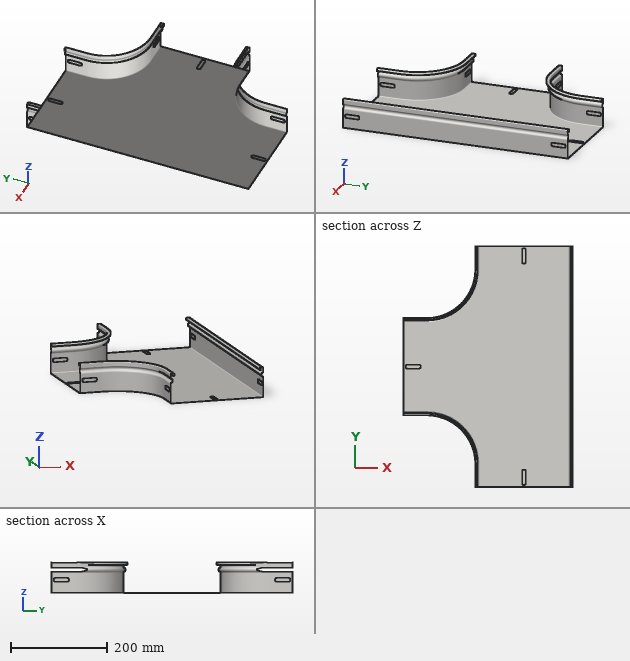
import cadquery as cq
import math


RUN_LENGTH = 501.0
OVERALL_WIDTH = 351.5
HEIGHT = 64.0
SHEET = 0.65

CORNER_RADIUS = 100.0
STRAIGHT_END = 49.0
ARM = STRAIGHT_END + CORNER_RADIUS

FLANGE = 5.0
BEND_RADIUS = 2.25
BEAD_DROP = 15.5
BEAD_DEPTH = 4.25
BEAD_UPPER_HEIGHT = 6.0
BEAD_LOWER_HEIGHT = 7.0
BEAD_PEAK_RADIUS = 4.5
LIP_WIDTH = 9.0
LIP_HEIGHT = 6.0
LIP_RETURN = 5.5
LIP_BEND_RADIUS = 2.0
CURL_RADIUS = 2.5

KNOCKOUT_LENGTH = 32.0
KNOCKOUT_WIDTH = 8.0
KNOCKOUT_SHIFT = 0.25
KNOCKOUT_END_GAP = 4.5
KNOCKOUT_HEIGHT = 27.5

COINCIDENT = 5.01e-06

HALF_RUN = RUN_LENGTH / 2
HALF_WIDTH = OVERALL_WIDTH / 2
CURVE_X = STRAIGHT_END - HALF_WIDTH
CURVE_Y = STRAIGHT_END - HALF_RUN
RUN_FACE_X = ARM - HALF_WIDTH
BRANCH_FACE_Y = ARM - HALF_RUN
KNOCKOUT_CENTRE = KNOCKOUT_END_GAP + KNOCKOUT_LENGTH / 2


def bent_strip(plane, corners, thickness):
    """Sketch a strip along corners (x, y, bend radius), with concentric bends."""
    steps = list(zip(corners, corners[1:]))
    headings = [math.atan2(b[1] - a[1], b[0] - a[0]) for a, b in steps]

    def beside(point, heading, offset):
        return (point[0] - offset * math.sin(heading), point[1] + offset * math.cos(heading))

    def side(offset):
        """Start point, bends as (start, middle, end), and end point of one face."""
        bends = []
        for (x, y, radius), before, after in zip(corners[1:-1], headings, headings[1:]):
            turn = math.remainder(after - before, 2 * math.pi)
            setback = radius * math.tan(abs(turn) / 2)
            tangent = (x - setback * math.cos(before), y - setback * math.sin(before))
            exit_point = (x + setback * math.cos(after), y + setback * math.sin(after))
            to_centre = math.copysign(radius, turn)
            centre = beside(tangent, before, to_centre)
            middle = beside(centre, before + turn / 2, offset - to_centre)
            bends.append((beside(tangent, before, offset), middle, beside(exit_point, after, offset)))
        return beside(corners[0], headings[0], offset), bends, beside(corners[-1], headings[-1], offset)

    def line_on(outline, point):
        """Line to a point, left out where one bend runs straight into the next."""
        here = outline.plane.toLocalCoords(outline.val().endPoint())
        gap = math.hypot(point[0] - here.x, point[1] - here.y)
        return outline.lineTo(*point) if gap > COINCIDENT else outline

    left_start, left_bends, left_end = side(thickness / 2)
    right_start, right_bends, right_end = side(-thickness / 2)
    outline = plane.moveTo(*right_start).lineTo(*left_start)
    for first, middle, last in left_bends:
        outline = line_on(outline, first).threePointArc(middle, last)
    outline = outline.lineTo(*left_end).lineTo(*right_end)
    for first, middle, last in reversed(right_bends):
        outline = line_on(outline, last).threePointArc(middle, first)
    return outline.close()


def bead_corners(wall, height):
    """Corners of an inward bead whose base bends run straight into its peak bend."""
    def half(half_height):
        """Flank angle, base bend radius and distance of the base corner from the peak line."""
        angle = 2 * math.atan(BEAD_DEPTH / half_height)
        radius = half_height / math.sin(angle) - BEAD_PEAK_RADIUS
        return angle, radius, half_height - radius * math.tan(angle / 2)

    upper_angle, upper_radius, upper_rise = half(BEAD_UPPER_HEIGHT)
    lower_angle, lower_radius, lower_fall = half(BEAD_LOWER_HEIGHT)
    reach = BEAD_PEAK_RADIUS / math.cos((upper_angle + lower_angle) / 2)
    tilt = (upper_angle - lower_angle) / 2
    peak = wall + BEAD_DEPTH - BEAD_PEAK_RADIUS + reach * math.cos(tilt)
    return [
        (wall, height - lower_fall, lower_radius),
        (peak, height + reach * math.sin(tilt), BEAD_PEAK_RADIUS),
        (wall, height + upper_rise, upper_radius),
    ]


def wall_section(origin, inward):
    """Wall section on an upright plane: local x points into the tray, local y up."""
    normal = cq.Vector(*inward).cross(cq.Vector(0, 0, 1))
    plane = cq.Workplane(cq.Plane(origin=origin, xDir=inward, normal=normal))
    skin = SHEET / 2
    top = HEIGHT - skin
    lip_bottom = HEIGHT - LIP_HEIGHT + skin
    lip_edge = LIP_WIDTH - skin
    corners = [
        (FLANGE, skin, 0),
        (skin, skin, BEND_RADIUS),
        *bead_corners(skin, HEIGHT - BEAD_DROP),
        (skin, top, LIP_BEND_RADIUS),
        (lip_edge, top, CURL_RADIUS),
        (lip_edge, lip_bottom, CURL_RADIUS),
        (LIP_RETURN, lip_bottom, 0),
    ]
    return bent_strip(plane, corners, SHEET)


def back_wall():
    return wall_section((HALF_WIDTH, 0, 0), (-1, 0, 0)).extrude(HALF_RUN, both=True)


def corner_wall():
    """Wall on the -Y side: straight, quarter turn, straight."""
    run = wall_section((RUN_FACE_X, CURVE_Y, 0), (1, 0, 0)).extrude(STRAIGHT_END)
    branch = wall_section((CURVE_X, BRANCH_FACE_Y, 0), (0, 1, 0)).extrude(-STRAIGHT_END)
    axis_start = (-CORNER_RADIUS, 0, 0)
    axis_end = (-CORNER_RADIUS, 1, 0)
    curve = wall_section((RUN_FACE_X, CURVE_Y, 0), (1, 0, 0)).revolve(90, axis_start, axis_end)
    return run.union(curve).union(branch)


def floor():
    """Flat floor, set in from the wall faces to clear the floor bends."""
    inset = (FLANGE + BEND_RADIUS) / 2
    radius = CORNER_RADIUS + inset
    diagonal = radius * math.sqrt(0.5)
    run_edge = RUN_FACE_X + inset
    branch_edge = BRANCH_FACE_Y + inset
    return (
        cq.Workplane("XY")
        .moveTo(HALF_WIDTH - inset, -HALF_RUN)
        .lineTo(run_edge, -HALF_RUN)
        .lineTo(run_edge, CURVE_Y)
        .threePointArc((CURVE_X + diagonal, CURVE_Y + diagonal), (CURVE_X, branch_edge))
        .lineTo(-HALF_WIDTH, branch_edge)
        .lineTo(-HALF_WIDTH, -branch_edge)
        .lineTo(CURVE_X, -branch_edge)
        .threePointArc((CURVE_X + diagonal, -CURVE_Y - diagonal), (run_edge, -CURVE_Y))
        .lineTo(run_edge, HALF_RUN)
        .lineTo(HALF_WIDTH - inset, HALF_RUN)
        .close()
        .extrude(SHEET)
    )


def knockout(origin, along, inward):
    """A knockout's dent in the outer face and its pad on the inner face."""
    def slot_block(depth):
        plane = cq.Plane(origin=origin, xDir=along, normal=inward)
        base = cq.Workplane(plane).workplane(offset=depth)
        return base.slot2D(KNOCKOUT_LENGTH, KNOCKOUT_WIDTH).extrude(KNOCKOUT_SHIFT)

    return slot_block(0), slot_block(SHEET)


def knockouts():
    """All knockouts: at each tray end, one in the floor and one in each wall."""
    branch_x = KNOCKOUT_CENTRE - HALF_WIDTH
    run_middle_x = (RUN_FACE_X + HALF_WIDTH) / 2
    along_x, along_y, up = (1, 0, 0), (0, 1, 0), (0, 0, 1)
    placed = [knockout((branch_x, 0, 0), along_x, up)]
    for end in (-1, 1):
        run_y = end * (HALF_RUN - KNOCKOUT_CENTRE)
        branch_face = (branch_x, end * -BRANCH_FACE_Y, KNOCKOUT_HEIGHT)
        placed.append(knockout((run_middle_x, run_y, 0), along_y, up))
        placed.append(knockout((RUN_FACE_X, run_y, KNOCKOUT_HEIGHT), along_y, (1, 0, 0)))
        placed.append(knockout((HALF_WIDTH, run_y, KNOCKOUT_HEIGHT), along_y, (-1, 0, 0)))
        placed.append(knockout(branch_face, along_x, (0, -end, 0)))
    return placed


near_wall = corner_wall()
far_wall = near_wall.mirror("XZ")
result = floor().union(back_wall()).union(near_wall).union(far_wall)
for dent, pad in knockouts():
    result = result.cut(dent).union(pad)